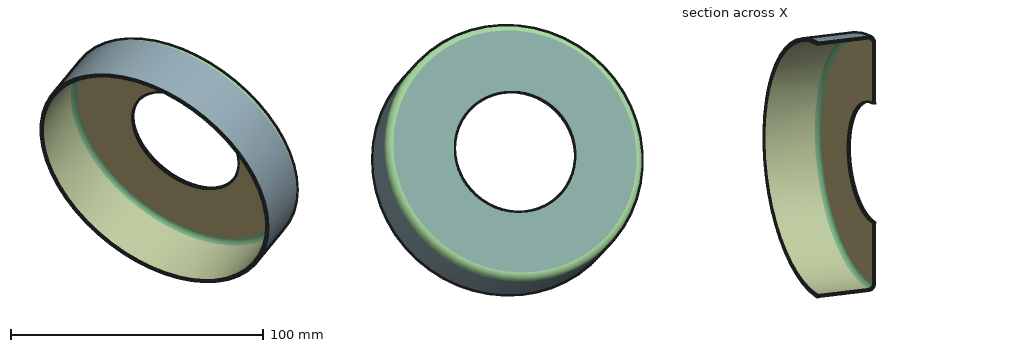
import cadquery as cq

outer_diameter = 105.0
depth = 25.0
wall = 1.0
hole_diameter = 49.0
outer_corner_radius = 3.0

inner_corner_radius = outer_corner_radius - wall
inner_diameter = outer_diameter - 2 * wall
cavity_depth = depth - wall


def disc(diameter, height):
    """Disc from the open rim at Y = 0 towards +Y."""
    return cq.Workplane("XZ").circle(diameter / 2).extrude(-height)


def make_shell():
    """Open cup with rounded bends between the skirt and the face."""
    outside = disc(outer_diameter, depth).faces(">Y").edges().fillet(outer_corner_radius)
    cavity = disc(inner_diameter, cavity_depth).faces(">Y").edges().fillet(inner_corner_radius)
    return outside.cut(cavity)


def make_center_hole():
    """Cutter for the pipe opening through the face."""
    return disc(hole_diameter, depth)


result = make_shell().cut(make_center_hole())